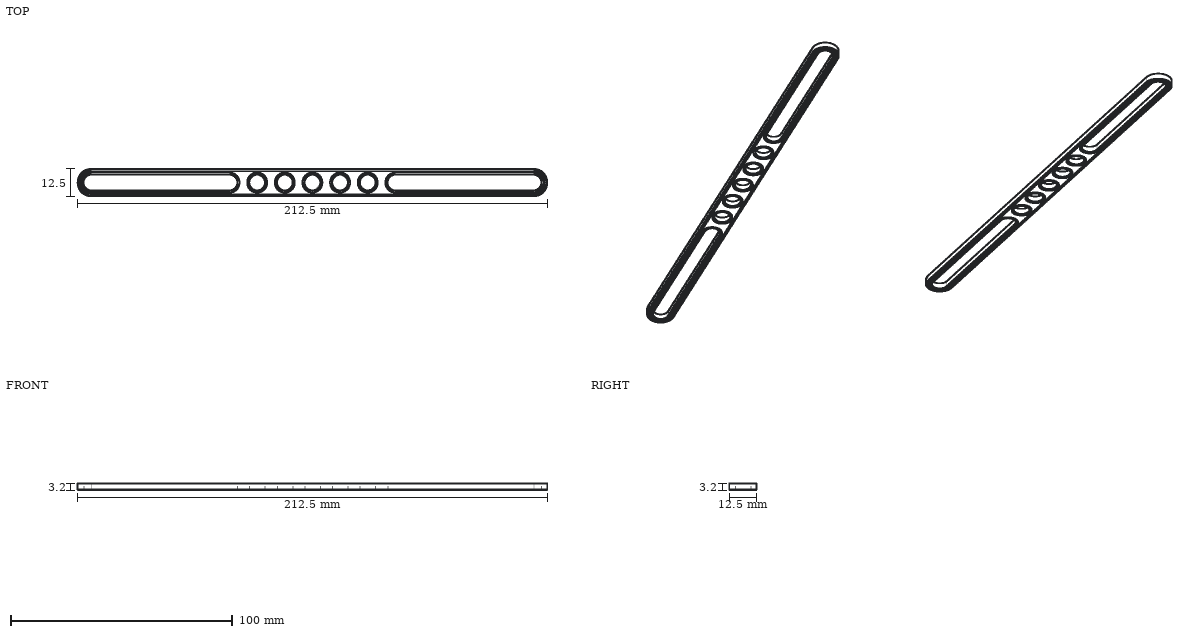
import cadquery as cq

length = 212.5
pitch_count = 17
thickness = 3.2
hole_count = 5
opening_width = 7.0
rim_width = 1.0
rim_height = 0.25
edge_chamfer = 0.32
chamfer_angle = 45

pitch = length / pitch_count
width = pitch
half_thickness = thickness / 2
slot_inner_x = (hole_count + 1) / 2 * pitch
slot_outer_x = (length - width) / 2
slot_center_x = (slot_inner_x + slot_outer_x) / 2
slot_span = slot_outer_x - slot_inner_x


def top_face():
    """Workplane on the upper face of the strip."""
    return cq.Workplane("XY", origin=(0, 0, half_thickness))


def openings(size, depth, taper=0):
    """Solids shaped like all the holes and slots, reaching down from the upper face."""
    first_hole_x = -(hole_count - 1) / 2 * pitch
    hole_points = [(first_hole_x + i * pitch, 0) for i in range(hole_count)]
    slot_points = [(-slot_center_x, 0), (slot_center_x, 0)]
    holes = top_face().pushPoints(hole_points).circle(size / 2).extrude(-depth, taper=taper)
    slots = top_face().pushPoints(slot_points).slot2D(slot_span + size, size).extrude(-depth, taper=taper)
    return holes.union(slots)


def cut_both_faces(body, cutter):
    """Cut the same shape from the upper and the lower face."""
    return body.cut(cutter).cut(cutter.mirror("XY"))


strip = cq.Workplane("XY").slot2D(length, width).extrude(half_thickness, both=True)
strip = strip.faces("|Z").edges().chamfer(edge_chamfer)

field = top_face().slot2D(length - 2 * rim_width, width - 2 * rim_width).extrude(-rim_height)
field = field.cut(openings(opening_width + 2 * rim_width, rim_height))
strip = cut_both_faces(strip, field)

strip = strip.cut(openings(opening_width, thickness))
mouths = openings(opening_width + 2 * edge_chamfer, edge_chamfer, chamfer_angle)
result = cut_both_faces(strip, mouths).solids()